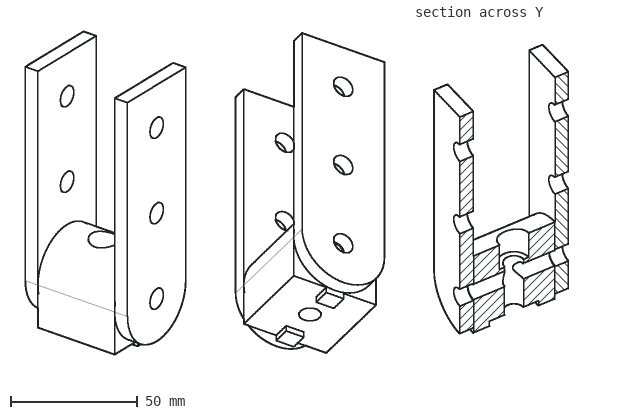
import cadquery as cq

INCH = 25.4
width = 1.5 * INCH
end_radius = width / 2
block_length = 1.5 * INCH
plate_thickness = 0.25 * INCH
hole_pitch = 1.5 * INCH
hole_count = 3
plate_top = (hole_count - 1) * hole_pitch + 0.75 * INCH

plate_hole_diameter = 11 / 32 * INCH
pivot_bore_diameter = 5 / 16 * INCH
bolt_hole_diameter = 11 / 32 * INCH
counterbore_diameter = 17 / 32 * INCH
counterbore_depth = 0.5 * INCH

lug_length = 0.3 * INCH
lug_width = 0.32 * INCH
lug_height = 0.1 * INCH


def make_plate(inner_x):
    """Side plate with a round lower end and a row of holes, extruded in +X from inner_x."""
    plate = (
        cq.Workplane("YZ", origin=(inner_x, 0, 0))
        .moveTo(-end_radius, 0)
        .threePointArc((0, -end_radius), (end_radius, 0))
        .lineTo(end_radius, plate_top)
        .lineTo(-end_radius, plate_top)
        .close()
        .extrude(plate_thickness)
    )
    holes = (
        cq.Workplane("YZ", origin=(inner_x, 0, 0))
        .pushPoints([(0, i * hole_pitch) for i in range(hole_count)])
        .circle(plate_hole_diameter / 2)
        .extrude(plate_thickness)
    )
    return plate.cut(holes)


def make_block():
    """Pivot block: round top, square base, locating lugs, pivot bore and bolt hole."""
    block = (
        cq.Workplane("YZ", origin=(-block_length / 2, 0, 0))
        .moveTo(-end_radius, 0)
        .threePointArc((0, end_radius), (end_radius, 0))
        .lineTo(end_radius, -end_radius)
        .lineTo(-end_radius, -end_radius)
        .close()
        .extrude(block_length)
    )

    lug_x = (block_length - lug_length) / 2
    lugs = (
        cq.Workplane("XY", origin=(0, 0, -end_radius))
        .pushPoints([(-lug_x, 0), (lug_x, 0)])
        .rect(lug_length, lug_width)
        .extrude(-lug_height)
    )

    pivot_bore = (
        cq.Workplane("YZ", origin=(-block_length / 2, 0, 0))
        .circle(pivot_bore_diameter / 2)
        .extrude(block_length)
    )

    bolt_hole = (
        cq.Workplane("XY", origin=(0, 0, end_radius))
        .circle(bolt_hole_diameter / 2)
        .extrude(-2 * end_radius)
    )
    counterbore = (
        cq.Workplane("XY", origin=(0, 0, end_radius))
        .circle(counterbore_diameter / 2)
        .extrude(-counterbore_depth)
    )
    return block.union(lugs).cut(pivot_bore).cut(bolt_hole).cut(counterbore)


block = make_block()
plates = [make_plate(x) for x in (-block_length / 2 - plate_thickness, block_length / 2)]

result = cq.Compound.makeCompound([block.val(), *[plate.val() for plate in plates]])